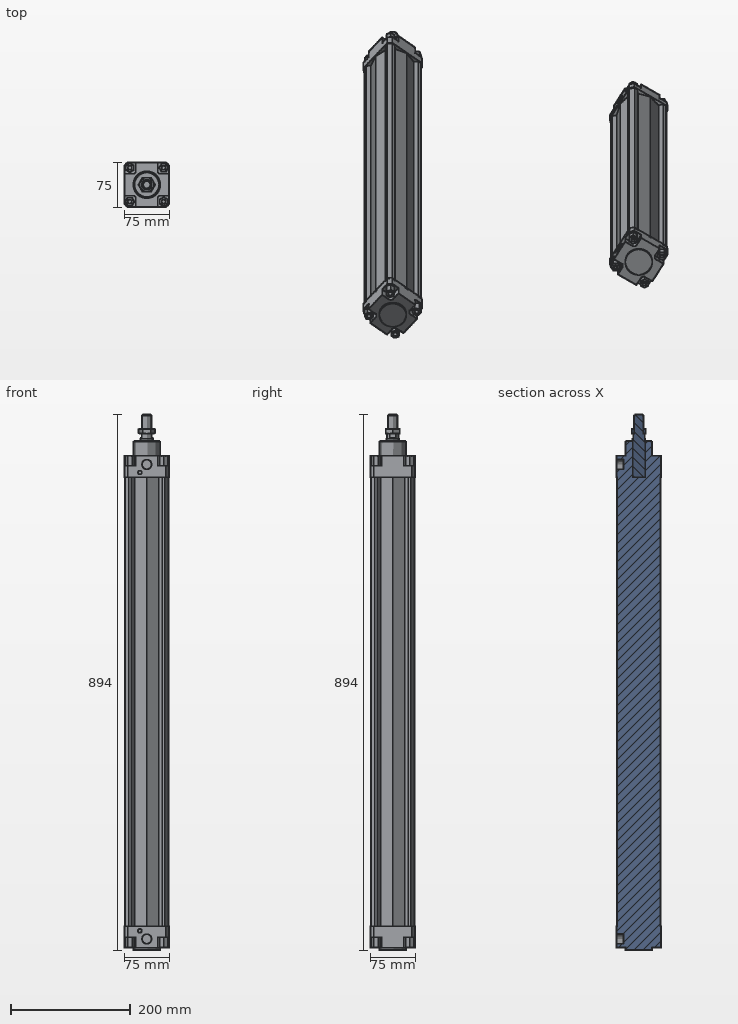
import cadquery as cq
import math

hex_sides = 6

body_width = 75.0
half_width = body_width / 2
stroke = 700.0
length_without_stroke = 121.0
body_length = length_without_stroke + stroke
cap_length = 35.5
barrel_length = body_length - 2 * cap_length

corner_chamfer = 5.5
notch_half_spacing = 18.0
notch_depth = 17.0
notch_fillet = 5
screw_spacing = 56.5
screw_across_flats = 13
screw_hole_diameter = 6.8
screw_hole_depth = 12.0
screw_chamfer = 0.3
screw_top_inset = 0.2

collar_diameter = 45.0
front_collar_height = 25
rear_collar_height = 4.0
front_collar_chamfer = 2.0
seal_rim_diameter = 21.5
seal_rim_height = 3.5

port_diameter = 16
port_depth = 12.0
port_inset = 14.5
cushion_diameter = 6.5
cushion_depth = 4.0
cushion_inset = 28.0
cushion_x = -11.5

barrel_inset = 1.0
barrel_half_width = half_width - barrel_inset
barrel_corner_chamfer = 6.2
rim_inner = 25.5
groove_half_width = 20.0
groove_depth = 5.5

rod_diameter = 20.0
thread_diameter = 16.0
thread_length = 32.0
thread_chamfer = 2
shoulder_height = 37.0
wrench_across_flats = 17.0
wrench_flat_length = 7
rod_bore_depth = cap_length

nut_across_flats = 24.0
nut_height = 8.0
nut_chamfer_angle = 30.0
nut_bore_chamfer = 0.5


def hex_corner_diameter(across_flats):
    """Diameter through the corners of a hexagon."""
    return across_flats / math.cos(math.pi / hex_sides)


def make_corner_notch():
    """Cutter for the notch at the +X +Y corner, rounded on its inner edge."""
    notch_width = half_width - notch_half_spacing
    return (
        cq.Workplane("XY", origin=(notch_half_spacing, notch_half_spacing, 0))
        .rect(notch_width, notch_width, centered=False)
        .extrude(notch_depth)
        .edges("|Z and <X and <Y")
        .fillet(notch_fillet)
    )


def make_tie_screw():
    """Hexagonal tie screw end at the +X +Y corner, corners along X, with a round hole."""
    length = notch_depth - screw_top_inset
    corner_diameter = hex_corner_diameter(screw_across_flats)
    base = cq.Workplane("XY", origin=(screw_spacing / 2, screw_spacing / 2, screw_top_inset))
    rounding = base.circle(corner_diameter / 2).extrude(length).faces("<Z").chamfer(screw_chamfer)
    hole = base.circle(screw_hole_diameter / 2).extrude(screw_hole_depth)
    return base.polygon(hex_sides, corner_diameter).extrude(length).intersect(rounding).cut(hole)


def make_cap():
    """Lower end cap: outer face at Z = 0, corners notched from that face around the tie screws."""
    cap = (
        cq.Workplane("XY")
        .rect(body_width, body_width)
        .extrude(cap_length)
        .edges("|Z")
        .chamfer(corner_chamfer)
    )
    corner_notch = make_corner_notch()
    tie_screw = make_tie_screw()
    for quarter_turn in range(4):
        angle = 90 * quarter_turn
        cap = cap.cut(corner_notch.rotate((0, 0, 0), (0, 0, 1), angle))
        cap = cap.union(tie_screw.rotate((0, 0, 0), (0, 0, 1), angle))
    port = (
        cq.Workplane("XZ", origin=(0, -half_width, port_inset))
        .circle(port_diameter / 2)
        .extrude(-port_depth)
    )
    cushion_recess = (
        cq.Workplane("XZ", origin=(cushion_x, -half_width, cushion_inset))
        .circle(cushion_diameter / 2)
        .extrude(-cushion_depth)
    )
    return cap.cut(port).cut(cushion_recess)


def make_barrel():
    """Extruded barrel whose sides each have a wide groove with a shallow central ridge."""
    flat_end = barrel_half_width - barrel_corner_chamfer
    groove_floor = barrel_half_width - groove_depth
    side = [
        (-flat_end, -barrel_half_width),
        (-rim_inner, -barrel_half_width),
        (-groove_half_width, -groove_floor),
        (0, -barrel_half_width),
        (groove_half_width, -groove_floor),
        (rim_inner, -barrel_half_width),
        (flat_end, -barrel_half_width),
    ]
    outline = []
    for _ in range(4):
        outline.extend(side)
        side = [(-y, x) for x, y in side]
    return cq.Workplane("XY", origin=(0, 0, cap_length)).polyline(outline).close().extrude(barrel_length)


def make_housing():
    """Barrel with both caps and collars, bored for the rod; a narrow seal rim tops the front collar."""
    rear_cap = make_cap()
    front_cap = make_cap().mirror("XY").translate((0, 0, body_length))
    rear_collar = cq.Workplane("XY").circle(collar_diameter / 2).extrude(-rear_collar_height)
    front_collar = (
        cq.Workplane("XY", origin=(0, 0, body_length))
        .circle(collar_diameter / 2)
        .extrude(front_collar_height)
        .faces(">Z")
        .chamfer(front_collar_chamfer)
        .faces(">Z")
        .workplane()
        .circle(seal_rim_diameter / 2)
        .extrude(seal_rim_height)
    )
    rod_bore = (
        cq.Workplane("XY", origin=(0, 0, body_length - rod_bore_depth))
        .circle(rod_diameter / 2)
        .extrude(rod_bore_depth + front_collar_height + seal_rim_height)
    )
    housing = make_barrel().union(rear_cap).union(front_cap)
    return housing.union(rear_collar).union(front_collar).cut(rod_bore)


def make_rod():
    """Rod with wrench flats facing +X and -X below its threaded end."""
    shoulder_z = body_length + shoulder_height
    rod_start = body_length - rod_bore_depth
    shank = (
        cq.Workplane("XY", origin=(0, 0, rod_start))
        .circle(rod_diameter / 2)
        .extrude(shoulder_z - rod_start)
    )
    flat_center = (wrench_across_flats + rod_diameter) / 2
    flats = (
        cq.Workplane("XY", origin=(0, 0, shoulder_z))
        .pushPoints([(-flat_center, 0), (flat_center, 0)])
        .rect(rod_diameter, rod_diameter)
        .extrude(-wrench_flat_length)
    )
    thread = (
        cq.Workplane("XY", origin=(0, 0, shoulder_z))
        .circle(thread_diameter / 2)
        .extrude(thread_length)
        .faces(">Z")
        .chamfer(thread_chamfer)
    )
    return shank.cut(flats).union(thread)


def make_nut():
    """Hexagon nut seated on the rod shoulder, corners along X, chamfered and countersunk at both ends."""
    nut_z = body_length + shoulder_height
    corner_diameter = hex_corner_diameter(nut_across_flats)
    blank = (
        cq.Workplane("XY", origin=(0, 0, nut_z))
        .polygon(hex_sides, corner_diameter)
        .circle(thread_diameter / 2)
        .extrude(nut_height)
    )
    chamfer_width = (corner_diameter - nut_across_flats) / 2
    chamfer_height = chamfer_width * math.tan(math.radians(nut_chamfer_angle))
    envelope = (
        cq.Workplane("XY", origin=(0, 0, nut_z))
        .circle(corner_diameter / 2)
        .extrude(nut_height)
        .faces("<Z or >Z")
        .chamfer(chamfer_height, chamfer_width)
    )
    nut = blank.intersect(envelope)
    for face_z, inward in ((nut_z, 1), (nut_z + nut_height, -1)):
        countersink = cq.Solid.makeCone(
            thread_diameter / 2 + nut_bore_chamfer,
            thread_diameter / 2,
            nut_bore_chamfer,
            pnt=cq.Vector(0, 0, face_z),
            dir=cq.Vector(0, 0, inward),
        )
        nut = nut.cut(cq.Workplane(obj=countersink))
    return nut


housing = make_housing()
rod = make_rod()
nut = make_nut()

result = cq.Compound.makeCompound([housing.val(), rod.val(), nut.val()])